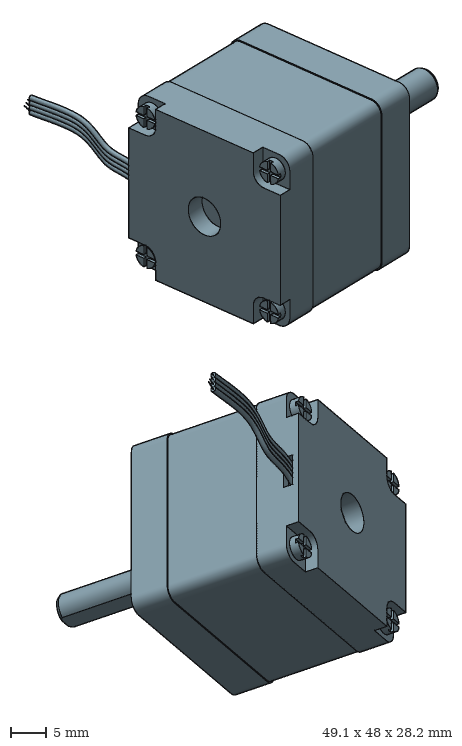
import cadquery as cq
import math

overall_x = 49.1
overall_y = 48.0
body_size = 28.2

rear_cap_length = 7.05
stator_length = 14.95
front_cap_length = 6.0
cap_corner_radius = 1.95
stator_inset = 0.2
body_length = rear_cap_length + stator_length + front_cap_length

boss_diameter = 22.0
boss_length = 1.95
boss_edge = 0.5
boss_root = 0.45
shaft_diameter = 5.0
shaft_flat_height = 4.5
shaft_tip_length = 0.5
shaft_tip_inset = 0.3

bore_diameter = 6.05
bore_depth = 3.0

notch_size = 5.0
notch_depth = 2.05
notch_radius = 1.95
screw_inset = 2.6
screw_diameter = 3.55
screw_height = 1.45
slot_width = 0.6
slot_depth = 0.5

outlet_width = 1.5
outlet_height = 4.9
outlet_depth = 1.25
outlet_y = 1.75
lead_count = 4
lead_diameter = 0.85
lead_pitch = 0.8
lead_end_x = -33.8
lead_end_z = 4.25
core_diameter = 0.1
core_slope = 0.45
core_embed = 0.25
core_run_step = 0.32

half_body = body_size / 2

core_rim_overhang = core_diameter / 2 * core_slope / math.hypot(1, core_slope)
core_longest_run = overall_x - half_body + lead_end_x - core_rim_overhang
outlet_floor_x = -half_body + outlet_depth

lead_embed = 0.25
lead_root_z = -0.45
lead_run = [
    (lead_end_x, lead_end_z),
    (-29.95, 4.5),
    (-26.65, 4.6),
    (-24.3, 4.3),
    (-22.25, 3.35),
    (-19.6, 1.5),
    (-16.2, 0.95),
    (outlet_floor_x + lead_embed, lead_root_z),
]


def rounded_block(size, corner_radius, y_start, length):
    """Square block along +Y with its four long edges rounded."""
    return (
        cq.Workplane("XZ", origin=(0, y_start, 0))
        .rect(size, size)
        .extrude(-length)
        .edges("|Y")
        .fillet(corner_radius)
    )


def rod(diameter, y_start, length, x=0, z=0):
    """Round rod along +Y."""
    return cq.Workplane("XZ", origin=(x, y_start, z)).circle(diameter / 2).extrude(-length)


def make_body():
    """Stator stack between the two end caps."""
    rear_cap = rounded_block(body_size, cap_corner_radius, 0, rear_cap_length)
    stator = rounded_block(
        body_size - 2 * stator_inset,
        cap_corner_radius - stator_inset,
        rear_cap_length,
        stator_length,
    )
    front_cap = rounded_block(
        body_size, cap_corner_radius, rear_cap_length + stator_length, front_cap_length
    )
    return rear_cap.union(stator).union(front_cap)


def make_boss():
    """Pilot boss with a bevelled front edge and a flared root."""
    radius = boss_diameter / 2
    return (
        cq.Workplane("XY", origin=(0, body_length, 0))
        .lineTo(radius + boss_root, 0)
        .lineTo(radius, boss_edge)
        .lineTo(radius, boss_length - boss_edge)
        .lineTo(radius - boss_edge, boss_length)
        .lineTo(0, boss_length)
        .close()
        .revolve(360, (0, 0, 0), (0, 1, 0))
    )


def make_shaft():
    """D-shaped shaft: bevelled tip, flat facing -Z."""
    length = overall_y - body_length
    shaft = rod(shaft_diameter, body_length, length)
    shaft = shaft.faces(">Y").chamfer(shaft_tip_length, shaft_tip_inset)
    flat_z = shaft_diameter / 2 - shaft_flat_height
    above_flat = (
        cq.Workplane("XY")
        .box(shaft_diameter, length, shaft_flat_height, centered=(True, False, False))
        .translate((0, body_length, flat_z))
    )
    return shaft.intersect(above_flat)


def make_notch(side_x, side_z):
    """Corner recess; its inner corner is rounded and its outer sides are open."""
    center = half_body - notch_size / 2
    inner = half_body - notch_size
    inner_edge = cq.selectors.NearestToPointSelector((side_x * inner, notch_depth / 2, side_z * inner))
    return (
        cq.Workplane("XZ", origin=(side_x * center, 0, side_z * center))
        .rect(notch_size, notch_size)
        .extrude(-notch_depth)
        .edges("|Y")
        .edges(inner_edge)
        .fillet(notch_radius)
    )


def make_screw(side_x, side_z):
    """Cheese-head screw with crossed slots, standing on the notch floor."""
    x = side_x * (half_body - screw_inset)
    z = side_z * (half_body - screw_inset)
    head_y = notch_depth - screw_height
    screw = rod(screw_diameter, head_y, screw_height, x, z)
    for slot_x, slot_z in ((screw_diameter, slot_width), (slot_width, screw_diameter)):
        slot = cq.Workplane("XZ", origin=(x, head_y, z)).rect(slot_x, slot_z).extrude(-slot_depth)
        screw = screw.cut(slot)
    return screw


def make_outlet():
    """Rectangular pocket in the -X side where the leads enter."""
    return (
        cq.Workplane("XY")
        .box(outlet_depth, outlet_width, outlet_height, centered=(False, True, True))
        .translate((-half_body, outlet_y, 0))
    )


def make_lead(z_offset):
    """Insulated lead following the wavy run from its free end into the body."""
    path = cq.Workplane("XZ", origin=(0, outlet_y, z_offset)).spline(lead_run)
    return (
        cq.Workplane("YZ", origin=(lead_end_x, outlet_y, lead_end_z + z_offset))
        .circle(lead_diameter / 2)
        .sweep(path)
    )


def make_core(z_offset, run):
    """Bare conductor, bent upward from the free end of a lead."""
    start_z = lead_end_z + z_offset - core_slope * core_embed
    start = cq.Vector(lead_end_x + core_embed, outlet_y, start_z)
    reach = run + core_embed
    direction = cq.Vector(-1, 0, core_slope)
    length = reach * math.hypot(1, core_slope)
    return cq.Workplane(cq.Solid.makeCylinder(core_diameter / 2, length, start, direction))


result = make_body().union(make_boss()).union(make_shaft()).cut(rod(bore_diameter, 0, bore_depth))

for side_x in (-1, 1):
    for side_z in (-1, 1):
        result = result.cut(make_notch(side_x, side_z)).union(make_screw(side_x, side_z))

result = result.cut(make_outlet())
for index in range(lead_count):
    z_offset = (index - (lead_count - 1) / 2) * lead_pitch
    core_run = core_longest_run - index * core_run_step
    result = result.union(make_lead(z_offset)).union(make_core(z_offset, core_run))